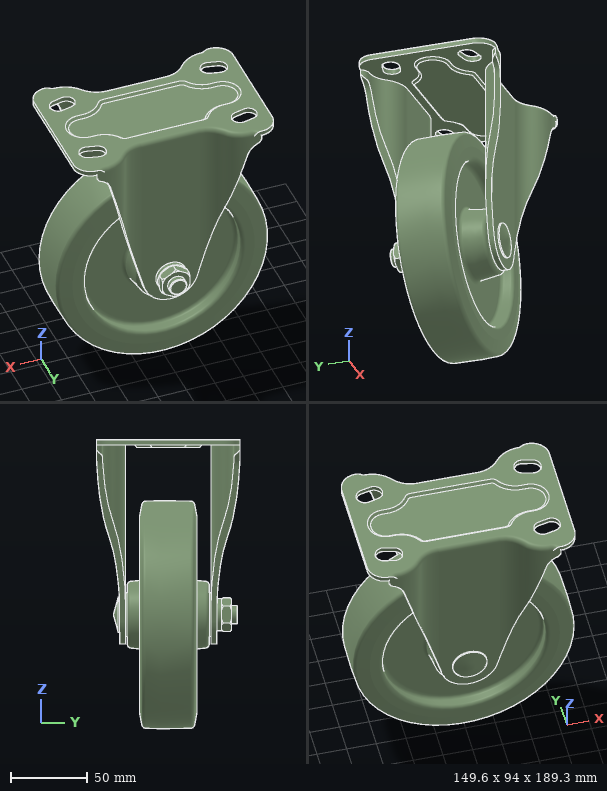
import cadquery as cq
import math


overall_height = 189.3
wheel_radius = 74.8
plate_top = overall_height - wheel_radius

plate_length = 139.7
plate_width = 94.0
plate_corner_radius = 12.0
plate_thickness = 3.6
leg_thickness = 4.0
leg_outer_y = 31.8
leg_flat_half = 20.5
flare_end_x = 51.7
flare_inner_radius = 18.2
flare_end_radius = 2.8
fold_radius = 3.6
leg_end_radius = 19.3
shoulder_x = 49.8
shoulder_drop = 11.5
shoulder_radius = 12.1
tip_x = 56.5
tip_drop = 9.0
tip_radius = 3.8
root_x = 59.8

slot_x = 53.2
slot_y = 27.3
slot_length = 18.0
slot_width = 11.4
slot_angle = 13.0

panel_depth = 1.7
panel_wall_run = 2.0
panel_boss_run = 1.5
panel_half_width = 22.0
panel_flat_half = 26.9
panel_lobe_x = 48.8
panel_lobe_radius = 12.0
panel_neck_x = 44.9
panel_corner_radius = 5.0

tread_half_width = 14.4
tread_edge_radius = 74.4
shoulder_y = 17.5
shoulder_ring_radius = 71.7
rim_outer_radius = 64.0
rim_half_width = 19.0
rim_inner_radius = 54.9
rim_fillet = 2.8
web_half_thickness = 9.5
hub_root_radius = 23.7
hub_radius = 22.0
hub_half_length = 26.9
hub_root_fillet = 2.7
hub_edge_fillet = 2.8
spacer_radius = 14.4

bolt_radius = 6.0
bolt_end_y = 45.5
bolt_chamfer = 0.5
head_radius = 11.5
head_rim = 1.0
head_height = 4.2
washer_radius = 10.6
washer_end_y = 34.8
nut_end_y = 41.5
nut_across_flats = 19.3
nut_chamfer = 1.1

plate_bottom = plate_top - plate_thickness
leg_inner_y = leg_outer_y - leg_thickness
half_width = plate_width / 2
flare_run = flare_end_x - leg_flat_half
flare_rise = half_width - leg_outer_y
flare_angle = 2 * math.atan2(flare_rise, flare_run)
flare_outer_radius = flare_run / math.sin(flare_angle) - flare_inner_radius
margin = 3.8
blank_length = plate_length + 2 * margin
blank_half_width = half_width + flare_end_radius + margin


def on_circle(center, radius, angle):
    """Point on a circle; the angle is in radians from the +X direction."""
    return (center[0] + radius * math.cos(angle), center[1] + radius * math.sin(angle))


def flare_notch(inset, bottom, height):
    """Prism on the +Y side whose edge follows the leg, moved inward by `inset`."""
    down = -math.pi / 2
    concave = (leg_flat_half, leg_outer_y + flare_inner_radius)
    convex = (flare_end_x, half_width - flare_outer_radius)
    end = (flare_end_x, half_width + flare_end_radius)
    concave_radius = flare_inner_radius + inset
    convex_radius = flare_outer_radius - inset
    end_radius = flare_end_radius + inset
    return (
        cq.Workplane("XY", origin=(0, 0, bottom))
        .moveTo(0, leg_outer_y - inset)
        .lineTo(leg_flat_half, leg_outer_y - inset)
        .threePointArc(
            on_circle(concave, concave_radius, down + flare_angle / 2),
            on_circle(concave, concave_radius, down + flare_angle),
        )
        .threePointArc(
            on_circle(convex, convex_radius, math.pi / 2 + flare_angle / 2),
            on_circle(convex, convex_radius, math.pi / 2),
        )
        .threePointArc(on_circle(end, end_radius, down / 2), on_circle(end, end_radius, 0))
        .lineTo(flare_end_x + end_radius, blank_half_width)
        .lineTo(0, blank_half_width)
        .mirrorY()
        .extrude(height)
    )


def flared_blank(inset, bottom, top):
    """Block with the flared waist on both long sides."""
    height = top - bottom
    blank = cq.Workplane("XY", origin=(0, 0, bottom)).rect(blank_length, 2 * blank_half_width).extrude(height)
    notch = flare_notch(inset, bottom, height)
    return blank.cut(notch).cut(notch.mirror("XZ"))


def leg_outline():
    """Prism along Y with the front shape of the legs: shoulders, taper and round lower end."""
    shoulder_z = plate_top - shoulder_drop
    shoulder_direction = math.atan2(shoulder_z, shoulder_x)
    taper_angle = math.acos(leg_end_radius / math.hypot(shoulder_x, shoulder_z)) - shoulder_direction
    tangent_x = leg_end_radius * math.cos(taper_angle)
    tangent_z = -leg_end_radius * math.sin(taper_angle)
    depth = 2 * blank_half_width
    outline = (
        cq.Workplane("XZ", origin=(0, blank_half_width, 0))
        .moveTo(-tangent_x, tangent_z)
        .threePointArc((0, -leg_end_radius), (tangent_x, tangent_z))
        .lineTo(shoulder_x, shoulder_z)
        .lineTo(tip_x, plate_top - tip_drop)
        .lineTo(root_x, plate_bottom)
        .lineTo(-root_x, plate_bottom)
        .lineTo(-tip_x, plate_top - tip_drop)
        .lineTo(-shoulder_x, shoulder_z)
        .close()
        .extrude(depth)
    )
    for x, drop, radius in (
        (shoulder_x, shoulder_drop, shoulder_radius),
        (tip_x, tip_drop, tip_radius),
    ):
        for side in (-1, 1):
            corner = cq.selectors.NearestToPointSelector((side * x, 0, plate_top - drop))
            outline = outline.edges("|Y").edges(corner).fillet(radius)
    return outline


def panel_wire(inset, z):
    """Outline of the pressed panel, moved inward by `inset`."""
    lobe_radius = panel_lobe_radius - inset
    corner_radius = panel_corner_radius - inset
    neck_run = panel_neck_x - panel_flat_half
    neck_drop = panel_half_width - panel_lobe_radius
    turn = 2 * math.atan2(neck_drop, neck_run)
    neck_radius = neck_run / math.sin(turn) - panel_corner_radius + inset
    corner = (panel_flat_half, panel_half_width - panel_corner_radius)
    neck = (panel_neck_x, panel_lobe_radius + neck_radius - inset)
    up = math.pi / 2
    return (
        cq.Workplane("XY", origin=(0, 0, z))
        .moveTo(0, panel_half_width - inset)
        .lineTo(panel_flat_half, panel_half_width - inset)
        .threePointArc(
            on_circle(corner, corner_radius, up - turn / 2),
            on_circle(corner, corner_radius, up - turn),
        )
        .threePointArc(on_circle(neck, neck_radius, -up - turn / 2), on_circle(neck, neck_radius, -up))
        .lineTo(panel_lobe_x, lobe_radius)
        .threePointArc((panel_lobe_x + lobe_radius, 0), (panel_lobe_x, -lobe_radius))
        .lineTo(panel_neck_x, -lobe_radius)
        .threePointArc(
            on_circle((neck[0], -neck[1]), neck_radius, up + turn / 2),
            on_circle((neck[0], -neck[1]), neck_radius, up + turn),
        )
        .threePointArc(
            on_circle((corner[0], -corner[1]), corner_radius, -up + turn / 2),
            on_circle((corner[0], -corner[1]), corner_radius, -up),
        )
        .lineTo(0, inset - panel_half_width)
        .mirrorY()
        .val()
    )


def panel_slab(top, run):
    """Panel-shaped slab that narrows downward by `run` on every side."""
    wires = [panel_wire(0, top), panel_wire(run, top - panel_depth)]
    return cq.Workplane(cq.Solid.makeLoft(wires, True))


def mounting_slots():
    """Four slots, mirrored about both middle planes of the plate."""
    slots = cq.Workplane("XY")
    for side_x in (-1, 1):
        for side_y in (-1, 1):
            slots = slots.add(
                cq.Workplane("XY", origin=(side_x * slot_x, side_y * slot_y, plate_bottom))
                .transformed(rotate=(0, 0, -side_x * side_y * slot_angle))
                .slot2D(slot_length, slot_width)
                .extrude(plate_thickness)
            )
    return slots.combine()


def axle_bore():
    return cq.Workplane("XZ").circle(bolt_radius).extrude(bolt_end_y, both=True)


def make_bracket():
    body = flared_blank(0, -leg_end_radius, plate_top)
    waist = cq.selectors.BoxSelector(
        (-root_x, -blank_half_width + margin / 2, plate_bottom),
        (root_x, blank_half_width - margin / 2, plate_top + margin),
    )
    body = body.faces(">Z").edges(waist).fillet(fold_radius)
    body = body.cut(flared_blank(leg_thickness, -leg_end_radius, plate_bottom))
    plate_outline = (
        cq.Workplane("XY", origin=(0, 0, -leg_end_radius))
        .rect(plate_length, plate_width)
        .extrude(plate_top + leg_end_radius)
        .edges("|Z")
        .fillet(plate_corner_radius)
    )
    plate_layer = (
        cq.Workplane("XY", origin=(0, 0, plate_bottom))
        .rect(plate_length, plate_width)
        .extrude(plate_thickness)
    )
    body = body.intersect(plate_outline).intersect(plate_layer.union(leg_outline()))
    body = body.union(panel_slab(plate_bottom, panel_boss_run))
    body = body.cut(panel_slab(plate_top, panel_wall_run))
    return body.cut(mounting_slots()).cut(axle_bore())


def make_wheel():
    """Crowned tyre, recessed web and drafted hub, turned about the axle."""
    diagonal = math.sqrt(0.5)
    rim_edge = (rim_inner_radius + rim_fillet, rim_half_width - rim_fillet)
    rim_root = (rim_inner_radius - rim_fillet, web_half_thickness + rim_fillet)
    hub_root = (hub_root_radius + hub_root_fillet, web_half_thickness + hub_root_fillet)
    hub_edge = (hub_radius - hub_edge_fillet, hub_half_length - hub_edge_fillet)
    side = (
        cq.Workplane("XY")
        .moveTo(bolt_radius, leg_inner_y)
        .lineTo(spacer_radius, leg_inner_y)
        .lineTo(spacer_radius, hub_half_length)
        .lineTo(hub_edge[0], hub_half_length)
        .threePointArc(on_circle(hub_edge, hub_edge_fillet, math.pi / 4), (hub_radius, hub_edge[1]))
        .lineTo(hub_root_radius, hub_root[1])
        .threePointArc(
            on_circle(hub_root, hub_root_fillet, -3 * math.pi / 4),
            (hub_root[0], web_half_thickness),
        )
        .lineTo(rim_root[0], web_half_thickness)
        .threePointArc(on_circle(rim_root, rim_fillet, -math.pi / 4), (rim_inner_radius, rim_root[1]))
        .lineTo(rim_inner_radius, rim_edge[1])
        .threePointArc(on_circle(rim_edge, rim_fillet, 3 * math.pi / 4), (rim_edge[0], rim_half_width))
        .lineTo(rim_outer_radius, rim_half_width)
        .lineTo(shoulder_ring_radius, shoulder_y)
        .threePointArc(
            (
                shoulder_ring_radius + (tread_edge_radius - shoulder_ring_radius) * diagonal,
                tread_half_width + (shoulder_y - tread_half_width) * diagonal,
            ),
            (tread_edge_radius, tread_half_width),
        )
        .wire()
    )
    tread = cq.Edge.makeThreePointArc(
        cq.Vector(tread_edge_radius, tread_half_width, 0),
        cq.Vector(wheel_radius, 0, 0),
        cq.Vector(tread_edge_radius, -tread_half_width, 0),
    )
    bore = cq.Edge.makeLine(cq.Vector(bolt_radius, -leg_inner_y, 0), cq.Vector(bolt_radius, leg_inner_y, 0))
    opposite_side = side.mirror("XZ")
    outline = cq.Wire.combine([*side.edges().vals(), *opposite_side.edges().vals(), tread, bore])[0]
    return cq.Workplane("XY").add(outline).toPending().revolve(360, (0, 0, 0), (0, 1, 0))


def disc(radius, start_y, end_y):
    return cq.Workplane("XZ", origin=(0, start_y, 0)).circle(radius).extrude(start_y - end_y)


def make_nut():
    """Hexagon with a corner pointing up and chamfered ends."""
    corner_diameter = nut_across_flats / math.cos(math.pi / 6)
    hexagon = (
        cq.Workplane("XZ", origin=(0, washer_end_y, 0))
        .transformed(rotate=(0, 0, 30))
        .polygon(6, corner_diameter)
        .extrude(washer_end_y - nut_end_y)
    )
    envelope = disc(corner_diameter / 2, washer_end_y, nut_end_y).edges().chamfer(nut_chamfer)
    return hexagon.intersect(envelope)


def make_axle():
    shank = disc(bolt_radius, -leg_outer_y, bolt_end_y).faces(">Y").chamfer(bolt_chamfer)
    head = (
        cq.Workplane("XY")
        .moveTo(0, -leg_outer_y)
        .lineTo(head_radius, -leg_outer_y)
        .lineTo(head_radius, -leg_outer_y - head_rim)
        .lineTo(0, -leg_outer_y - head_height)
        .close()
        .revolve(360, (0, 0, 0), (0, 1, 0))
    )
    washer = disc(washer_radius, leg_outer_y, washer_end_y)
    return shank.union(head).union(washer).union(make_nut())


bracket = make_bracket()
wheel = make_wheel()
axle = make_axle()

result = cq.Compound.makeCompound([bracket.solids().val(), wheel.val(), axle.solids().val()])